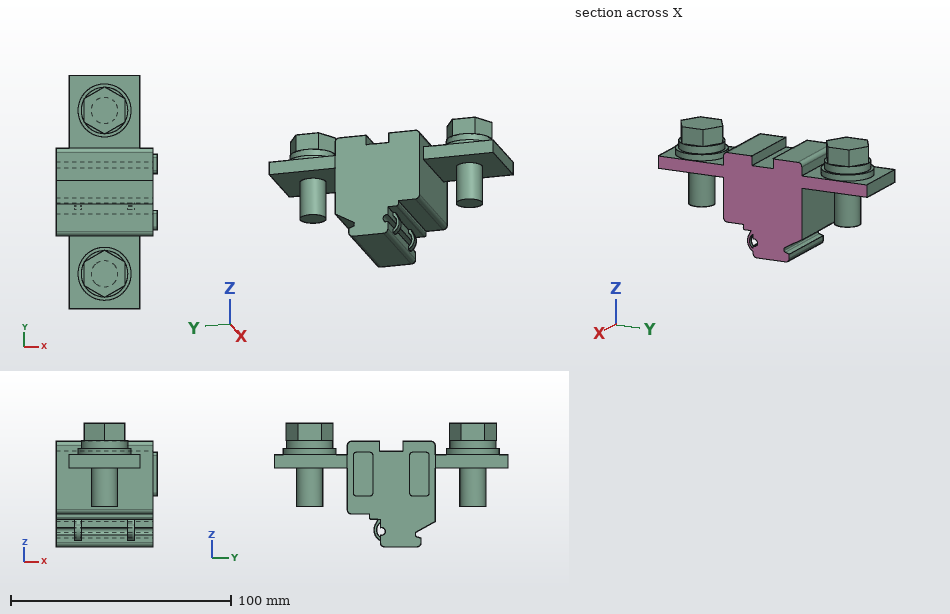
import cadquery as cq
import math

BODY_WIDTH = 44.0
BODY_DEPTH = 40.0
BODY_HEIGHT = 48.0
CORNER_RADIUS = 2.0
TOP_SLOT_WIDTH = 10.6
TOP_SLOT_DEPTH = 4.6

BODY_SHOULDER_Z = 14.9
STEP_Y = -10.0
STEP_Z = 12.5
STEP_RADIUS = 1.0
FOOT_FRONT_Y = -5.0
FOOT_BACK_Y = 13.6
HOOK_LIP_Z = 4.0
HOOK_ROOT_Y = 11.0
HOOK_ROOT_BOTTOM_Z = 4.9
HOOK_ROOT_TOP_Z = 6.6
HOOK_ROOT_RADIUS = 0.7
BACK_SLOPE_Z = 11.6
GROOVE_RADIUS = 1.7
GROOVE_Y = -4.5
GROOVE_Z = 7.1

SPRING_OUTER_RADIUS = 5.4
SPRING_THICKNESS = 1.3
SPRING_Y = -2.4
SPRING_Z = 7.7
SPRING_STRAIGHT_START_Z = 10.0
SPRING_TOP_Y = -6.0
SPRING_WIDTH = 3.2
SPRING_SPACING = 24.2

BAR_LENGTH = 106.0
BAR_WIDTH = 32.0
BAR_THICKNESS = 6.0
BAR_BOTTOM_Z = 35.8

BOLT_SPACING = 74.1
SHANK_DIAMETER = 12.0
SHANK_BOTTOM_Z = 18.3
WASHER_DIAMETER = 24.1
WASHER_THICKNESS = 2.9
SPRING_WASHER_DIAMETER = 21.1
SPRING_WASHER_THICKNESS = 3.5
HEAD_ACROSS_FLATS = 18.5
HEAD_TOP_Z = 56.2

PAD_HEIGHT = 2.0
PAD_WIDTH = 8.9
PAD_LENGTH = 19.9
PAD_RADIUS = 1.5
PAD_SPACING = 25.5
PAD_CENTER_Z = 33.1


def extrude_along_x(profile, width):
    """Extrude a YZ profile symmetrically about the plane X = 0."""
    return profile.extrude(width / 2, both=True)


def x_edge_at(y, z):
    """Selector for the X-direction edge that passes through (0, y, z)."""
    reach = 0.1
    return cq.selectors.BoxSelector((-reach, y - reach, z - reach), (reach, y + reach, z + reach))


def make_body():
    half_depth = BODY_DEPTH / 2
    body = extrude_along_x(
        cq.Workplane("YZ").polyline([
            (-half_depth, BODY_HEIGHT),
            (-half_depth, BODY_SHOULDER_Z),
            (STEP_Y, BODY_SHOULDER_Z),
            (STEP_Y, STEP_Z),
            (FOOT_FRONT_Y, STEP_Z),
            (FOOT_FRONT_Y, 0),
            (FOOT_BACK_Y, 0),
            (FOOT_BACK_Y, HOOK_LIP_Z),
            (HOOK_ROOT_Y, HOOK_ROOT_BOTTOM_Z),
            (HOOK_ROOT_Y, HOOK_ROOT_TOP_Z),
            (half_depth, BACK_SLOPE_Z),
            (half_depth, BODY_HEIGHT),
        ]).close(),
        BODY_WIDTH,
    )
    rounded_corners = [
        (-half_depth, BODY_HEIGHT),
        (half_depth, BODY_HEIGHT),
        (-half_depth, BODY_SHOULDER_Z),
        (FOOT_FRONT_Y, 0),
        (FOOT_BACK_Y, 0),
    ]
    for y, z in rounded_corners:
        body = body.edges(x_edge_at(y, z)).fillet(CORNER_RADIUS)
    body = body.edges(x_edge_at(STEP_Y, STEP_Z)).fillet(STEP_RADIUS)
    body = body.edges(x_edge_at(HOOK_ROOT_Y, HOOK_ROOT_BOTTOM_Z)).fillet(HOOK_ROOT_RADIUS)

    top_slot = cq.Workplane("XY").box(BODY_WIDTH, TOP_SLOT_WIDTH, 2 * TOP_SLOT_DEPTH)
    groove = extrude_along_x(
        cq.Workplane("YZ").center(GROOVE_Y, GROOVE_Z).circle(GROOVE_RADIUS), BODY_WIDTH
    )
    return body.cut(top_slot.translate((0, 0, BODY_HEIGHT))).cut(groove)


def make_spring_strip(x):
    """Strip bowed out from the foot, with a straight upper end under the step."""
    inner_radius = SPRING_OUTER_RADIUS - SPRING_THICKNESS
    foot_offset = FOOT_FRONT_Y - SPRING_Y
    straight_rise = SPRING_STRAIGHT_START_Z - SPRING_Z
    lower_end_z = SPRING_Z - math.sqrt(SPRING_OUTER_RADIUS**2 - foot_offset**2)
    straight_start_y = SPRING_Y - math.sqrt(SPRING_OUTER_RADIUS**2 - straight_rise**2)

    outer = extrude_along_x(
        cq.Workplane("YZ")
        .moveTo(FOOT_FRONT_Y, lower_end_z)
        .threePointArc(
            (SPRING_Y - SPRING_OUTER_RADIUS, SPRING_Z),
            (straight_start_y, SPRING_STRAIGHT_START_Z),
        )
        .lineTo(SPRING_TOP_Y, STEP_Z)
        .lineTo(FOOT_FRONT_Y, STEP_Z)
        .close(),
        SPRING_WIDTH,
    )
    hollow = extrude_along_x(
        cq.Workplane("YZ").center(SPRING_Y, SPRING_Z).circle(inner_radius), SPRING_WIDTH
    )
    return outer.cut(hollow).translate((x, 0, 0))


def make_busbar():
    return (
        cq.Workplane("XY")
        .box(BAR_WIDTH, BAR_LENGTH, BAR_THICKNESS, centered=(True, True, False))
        .translate((0, 0, BAR_BOTTOM_Z))
    )


def make_bolt(y):
    washer_z = BAR_BOTTOM_Z + BAR_THICKNESS
    spring_washer_z = washer_z + WASHER_THICKNESS
    head_z = spring_washer_z + SPRING_WASHER_THICKNESS
    head_across_corners = HEAD_ACROSS_FLATS / math.cos(math.pi / 6)

    def disc(bottom_z, diameter, height):
        return cq.Workplane("XY", origin=(0, y, bottom_z)).circle(diameter / 2).extrude(height)

    head = (
        cq.Workplane("XY")
        .polygon(6, head_across_corners)
        .extrude(HEAD_TOP_Z - head_z)
        .rotate((0, 0, 0), (0, 0, 1), 90)
        .translate((0, y, head_z))
    )
    return (
        disc(SHANK_BOTTOM_Z, SHANK_DIAMETER, washer_z - SHANK_BOTTOM_Z)
        .union(disc(washer_z, WASHER_DIAMETER, WASHER_THICKNESS))
        .union(disc(spring_washer_z, SPRING_WASHER_DIAMETER, SPRING_WASHER_THICKNESS))
        .union(head)
    )


def make_pad(y):
    return (
        cq.Workplane("YZ", origin=(BODY_WIDTH / 2, y, PAD_CENTER_Z))
        .rect(PAD_WIDTH, PAD_LENGTH)
        .extrude(PAD_HEIGHT)
        .edges("|X")
        .fillet(PAD_RADIUS)
    )


result = make_body().union(make_busbar())
for side in (-1, 1):
    result = result.union(make_bolt(side * BOLT_SPACING / 2))
    result = result.union(make_pad(side * PAD_SPACING / 2))
    result = result.union(make_spring_strip(side * SPRING_SPACING / 2))